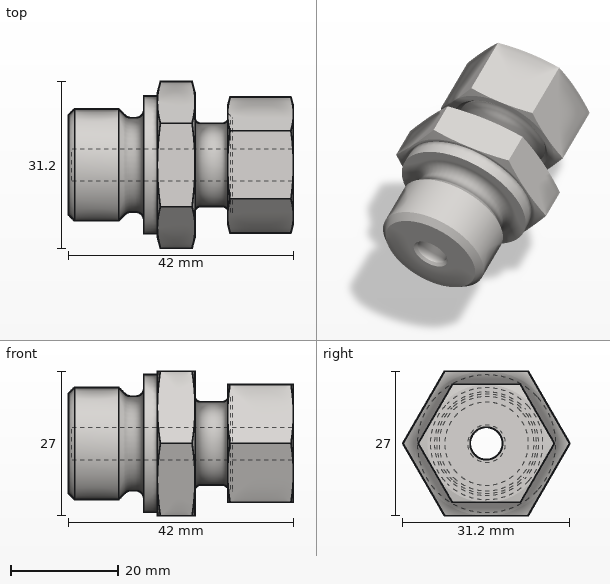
import cadquery as cq
import math

total_length = 42.0
thread_end = 9.35
flange_start = 14.05
body_hex_start = 16.65
body_hex_end = 23.65
nut_start = 29.75

thread_diameter = 20.95
groove_diameter = 17.7
flange_diameter = 25.8
neck_diameter = 15.6
bore_diameter = 6.0
nut_thread_diameter = 17.7
nut_mouth_diameter = 19.4

body_hex_flats = 27.0
nut_flats = 22.0
hex_chamfer_angle = 15.0

thread_chamfer = 1.18
groove_radius = 1.43
neck_fillet = 0.95
neck_cone_inset = 0.25
bore_chamfer = 0.5


def chamfered_hexagon(start, end, flats):
    """Hexagonal prism along X, flats facing +/-Z, with conically turned corners at both ends."""
    length = end - start
    corner_diameter = flats / math.cos(math.radians(30))
    flat_radius = flats / 2
    corner_radius = corner_diameter / 2
    cone_length = (corner_radius - flat_radius) * math.tan(math.radians(hex_chamfer_angle))
    prism = (
        cq.Workplane("YZ")
        .workplane(offset=start)
        .polygon(6, corner_diameter)
        .extrude(length)
    )
    turned_envelope = (
        cq.Workplane("XY")
        .moveTo(start, 0)
        .lineTo(start, flat_radius)
        .lineTo(start + cone_length, corner_radius)
        .lineTo(end - cone_length, corner_radius)
        .lineTo(end, flat_radius)
        .lineTo(end, 0)
        .close()
        .revolve(360, (0, 0, 0), (1, 0, 0))
    )
    return prism.intersect(turned_envelope)


def arc_offset(radius, degrees):
    """Axial run and radial rise along an arc that leaves a cylinder tangentially."""
    angle = math.radians(degrees)
    return radius * math.sin(angle), radius * (1 - math.cos(angle))


def turned_body():
    """Revolved profile: threaded end, undercut, flange, neck and threaded core inside the nut."""
    thread_radius = thread_diameter / 2
    groove_floor = groove_diameter / 2
    flange_radius = flange_diameter / 2
    neck_radius = neck_diameter / 2
    nut_thread_radius = nut_thread_diameter / 2

    groove_run, groove_rise = arc_offset(groove_radius, 45)
    middle_run, middle_rise = arc_offset(groove_radius, 22.5)
    runout = thread_radius - groove_floor - groove_rise
    floor_start = thread_end + runout + groove_run
    runout_arc_middle = (floor_start - middle_run, groove_floor + middle_rise)

    neck_run, neck_rise = arc_offset(neck_fillet, 45)
    middle_run, middle_rise = arc_offset(neck_fillet, 22.5)
    cone_start = nut_start - neck_cone_inset
    cone_end = cone_start + nut_thread_radius - neck_radius - neck_rise
    neck_end = cone_start - neck_run
    cone_arc_middle = (neck_end + middle_run, neck_radius + middle_rise)

    quarter_middle = 1 - math.sqrt(0.5)
    groove_arc_middle = (
        flange_start - groove_radius * quarter_middle,
        groove_floor + groove_radius * quarter_middle,
    )
    neck_arc_middle = (
        body_hex_end + neck_fillet * quarter_middle,
        neck_radius + neck_fillet * quarter_middle,
    )

    return (
        cq.Workplane("XY")
        .moveTo(0, 0)
        .lineTo(0, thread_radius - thread_chamfer)
        .lineTo(thread_chamfer, thread_radius)
        .lineTo(thread_end, thread_radius)
        .lineTo(thread_end + runout, groove_floor + groove_rise)
        .threePointArc(runout_arc_middle, (floor_start, groove_floor))
        .lineTo(flange_start - groove_radius, groove_floor)
        .threePointArc(groove_arc_middle, (flange_start, groove_floor + groove_radius))
        .lineTo(flange_start, flange_radius)
        .lineTo(body_hex_end, flange_radius)
        .lineTo(body_hex_end, neck_radius + neck_fillet)
        .threePointArc(neck_arc_middle, (body_hex_end + neck_fillet, neck_radius))
        .lineTo(neck_end, neck_radius)
        .threePointArc(cone_arc_middle, (cone_start, neck_radius + neck_rise))
        .lineTo(cone_end, nut_thread_radius)
        .lineTo(total_length, nut_thread_radius)
        .lineTo(total_length, 0)
        .close()
        .revolve(360, (0, 0, 0), (1, 0, 0))
    )


def nut_countersink():
    """45 degree countersink in the nut mouth, narrowing to the thread diameter."""
    mouth_radius = nut_mouth_diameter / 2
    thread_radius = nut_thread_diameter / 2
    countersink_end = nut_start + mouth_radius - thread_radius
    return (
        cq.Workplane("XY")
        .moveTo(nut_start, 0)
        .lineTo(nut_start, mouth_radius)
        .lineTo(countersink_end, thread_radius)
        .lineTo(countersink_end, 0)
        .close()
        .revolve(360, (0, 0, 0), (1, 0, 0))
    )


def bore():
    """Through hole with a 45 degree countersink at the threaded end."""
    radius = bore_diameter / 2
    return (
        cq.Workplane("XY")
        .moveTo(0, 0)
        .lineTo(0, radius + bore_chamfer)
        .lineTo(bore_chamfer, radius)
        .lineTo(total_length, radius)
        .lineTo(total_length, 0)
        .close()
        .revolve(360, (0, 0, 0), (1, 0, 0))
    )


body_hex = chamfered_hexagon(body_hex_start, body_hex_end, body_hex_flats)
nut = chamfered_hexagon(nut_start, total_length, nut_flats).cut(nut_countersink())
result = turned_body().union(body_hex).union(nut).cut(bore())